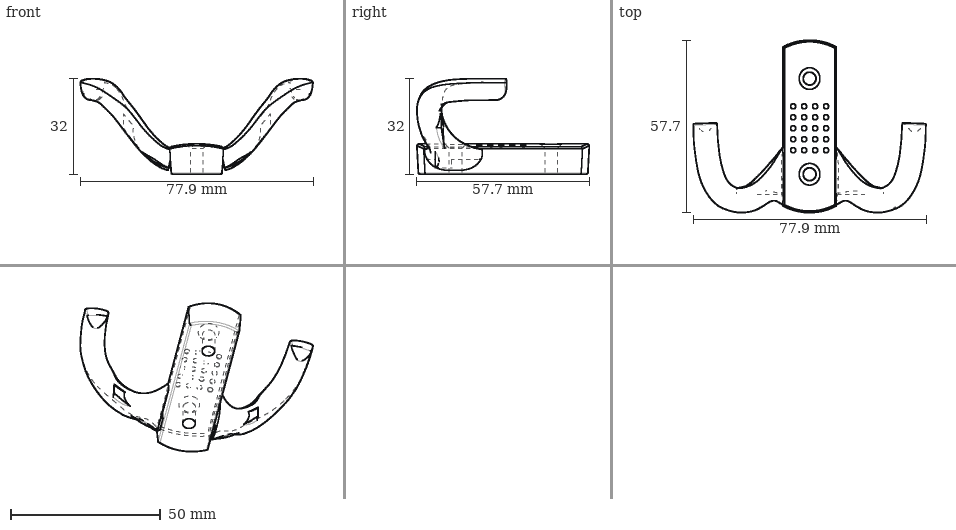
import cadquery as cq
import math

PLATE_LENGTH = 57.8
PLATE_WIDTH = 18.1
PLATE_BOTTOM_WIDTH = 17.0
PLATE_HEIGHT = 10.2
CROWN_RISE = 1.1
END_BULGE = 2.3
TOP_BEVEL = 0.6
BOTTOM_ROUND = 0.6
ARCH_OVERHANG = 0.8

SCREW_SPACING = 32
SCREW_DIAMETER = 4.2
SINK_DIAMETER = 7.25
SINK_ANGLE = 90

DIMPLE_DIAMETER = 1.7
DIMPLE_PITCH = 3.7
DIMPLE_COLUMNS = 4
DIMPLE_ROWS = 5
DIMPLE_CENTER_Y = -0.6

ARM_STATIONS = [
    (8.1, -16.4, 8.3, 20.3, 0.5, 7.2),
    (10.4, -17.3, 8.7, 16.1, 0.7, 6.55),
    (12.95, -19.2, 10.4, 11.8, 1.0, 6.1),
    (16.0, -21.9, 13.2, 10.1, 1.25, 5.7),
    (19.5, -24.0, 17.3, 8.9, 1.55, 5.5),
    (23.0, -24.7, 21.7, 8.3, 1.8, 5.3),
    (26.5, -24.0, 25.75, 8.2, 1.8, 5.5),
    (29.8, -21.8, 28.7, 8.2, 1.7, 5.6),
    (32.1, -18.1, 29.95, 8.2, 1.55, 5.85),
    (33.55, -13.3, 30.4, 8.2, 1.5, 5.85),
    (34.4, -7.8, 30.7, 8.1, 1.3, 5.9),
    (34.8, -3.1, 30.7, 8.1, 1.3, 5.9),
    (34.95, 1.1, 30.7, 8.1, 1.3, 5.9),
]
ROOT_STATIONS = 5
DRAFT = 0.15
CROWN_POWER = 2
UNDERSIDE_POWER = 2.8
HALF_SECTION_STEPS = 8
TIP_HEEL_RADIUS = 3.75
TIP_ROUND = 0.5
HEEL_MARGIN = 0.8

RIB_OUTER_Y = -22.6
RIB_ROOT_Y = -17.2
RIB_END_Y = -20.7
RIB_START_X = 8.2
RIB_END_X = 24.6
RIB_UNDERSIDE = [(9.75, 2.2), (12.9, 3.4), (18.4, 7.65), (21.2, 10.9), (RIB_END_X, 15.6)]
RIB_TOP = [(RIB_END_X, 20.3), (18.7, 13.3), (RIB_START_X, 6.25)]


def plate_outline(half_width, half_length, z):
    corner_y = half_length - END_BULGE
    return (
        cq.Workplane(origin=(0, 0, z))
        .moveTo(-half_width, -corner_y)
        .threePointArc((0, -half_length), (half_width, -corner_y))
        .lineTo(half_width, corner_y)
        .threePointArc((0, half_length), (-half_width, corner_y))
        .close()
        .val()
    )


def make_plate():
    inset = (PLATE_WIDTH - PLATE_BOTTOM_WIDTH) / 2
    half_length = PLATE_LENGTH / 2
    half_width = PLATE_WIDTH / 2
    foot = plate_outline(half_width - inset, half_length - inset, 0)
    rim = plate_outline(half_width, half_length, PLATE_HEIGHT)
    blank = cq.Workplane(cq.Solid.makeLoft([foot, rim], True))
    shoulder = PLATE_HEIGHT - CROWN_RISE
    arch = (
        cq.Workplane("XZ", origin=(0, half_length + ARCH_OVERHANG, 0))
        .moveTo(-half_width, 0)
        .lineTo(-half_width, shoulder)
        .threePointArc((0, PLATE_HEIGHT), (half_width, shoulder))
        .lineTo(half_width, 0)
        .close()
        .extrude(PLATE_LENGTH + 2 * ARCH_OVERHANG)
    )
    plate = blank.faces("<Z").edges().fillet(BOTTOM_ROUND).intersect(arch)
    crown = cq.selectors.NearestToPointSelector((0, 0, PLATE_HEIGHT))
    return plate.faces(crown).edges().chamfer(TOP_BEVEL)


def make_screw_holes():
    hole = cq.Workplane().circle(SCREW_DIAMETER / 2).extrude(PLATE_HEIGHT)
    sink_depth = (SINK_DIAMETER - SCREW_DIAMETER) / 2 / math.tan(math.radians(SINK_ANGLE / 2))
    sink = cq.Solid.makeCone(
        SCREW_DIAMETER / 2, SINK_DIAMETER / 2, sink_depth, pnt=(0, 0, PLATE_HEIGHT - sink_depth)
    )
    cutter = hole.union(cq.Workplane(sink))
    return [cutter.translate((0, side * SCREW_SPACING / 2, 0)) for side in (-1, 1)]


def make_dimples():
    half_width = PLATE_WIDTH / 2
    crown_radius = (half_width ** 2 + CROWN_RISE ** 2) / (2 * CROWN_RISE)
    dimples = []
    for column in range(DIMPLE_COLUMNS):
        x = (column - (DIMPLE_COLUMNS - 1) / 2) * DIMPLE_PITCH
        drop = crown_radius - math.sqrt(crown_radius ** 2 - x ** 2)
        for row in range(DIMPLE_ROWS):
            y = DIMPLE_CENTER_Y + (row - (DIMPLE_ROWS - 1) / 2) * DIMPLE_PITCH
            center = (x, y, PLATE_HEIGHT - drop)
            dimples.append(cq.Workplane().sphere(DIMPLE_DIAMETER / 2).translate(center))
    return dimples


def half_section(plane, width, height, power, draft):
    """Half of an oval; a power above 2 squares it off and the draft narrows its far side."""
    points = [(width / 2, 0)]
    for i in range(1, HALF_SECTION_STEPS):
        angle = math.pi * i / HALF_SECTION_STEPS
        across = math.copysign(abs(math.cos(angle)) ** (2 / power), math.cos(angle))
        along = math.sin(angle) ** (2 / power)
        points.append((width / 2 * across * (1 - draft * along), height * along))
    points.append((-width / 2, 0))
    return cq.Edge.makeSpline([plane.toWorldCoords(point) for point in points])


def arm_section(station, direction):
    x, y, z, width, rise, depth = station
    side = direction.cross(cq.Vector(0, 0, 1))
    plane = cq.Plane(origin=(x, y, z), xDir=side, normal=-direction)
    top = half_section(plane, width, rise, CROWN_POWER, 0)
    bottom = half_section(plane, width, -depth, UNDERSIDE_POWER, DRAFT)
    return cq.Wire.assembleEdges([top, bottom])


def make_arm():
    centers = [cq.Vector(*station[:3]) for station in ARM_STATIONS]
    before = [centers[0]] + centers[:-1]
    after = centers[1:] + [centers[-1]]
    sections = []
    for i, station in enumerate(ARM_STATIONS):
        direction = after[i] - before[i]
        if i < ROOT_STATIONS:
            direction = cq.Vector(direction.x, 0, direction.z)
        sections.append(arm_section(station, direction.normalized()))
    return cq.Workplane(cq.Solid.makeLoft(sections))


def round_tip(arm):
    _, tip_y, parting_z, _, _, depth = ARM_STATIONS[-1]
    underside = parting_z - depth
    heel = (
        cq.Workplane("YZ")
        .moveTo(tip_y + HEEL_MARGIN, underside - HEEL_MARGIN)
        .lineTo(tip_y - TIP_HEEL_RADIUS, underside - HEEL_MARGIN)
        .lineTo(tip_y - TIP_HEEL_RADIUS, underside)
        .radiusArc((tip_y, underside + TIP_HEEL_RADIUS), -TIP_HEEL_RADIUS)
        .lineTo(tip_y + HEEL_MARGIN, underside + TIP_HEEL_RADIUS)
        .close()
        .extrude(PLATE_LENGTH)
    )
    return arm.faces(">Y").edges().fillet(TIP_ROUND).cut(heel)


def make_rib():
    plan = (
        cq.Workplane()
        .polyline([
            (RIB_START_X, RIB_OUTER_Y),
            (RIB_END_X, RIB_OUTER_Y),
            (RIB_END_X, RIB_END_Y),
            (RIB_START_X, RIB_ROOT_Y),
        ])
        .close()
        .extrude(ARM_STATIONS[-1][2])
    )
    profile = (
        cq.Workplane("XZ")
        .moveTo(*RIB_UNDERSIDE[0])
        .spline(RIB_UNDERSIDE[1:], includeCurrent=True)
        .polyline(RIB_TOP, includeCurrent=True)
        .lineTo(RIB_START_X, RIB_UNDERSIDE[0][1])
        .close()
        .extrude(PLATE_LENGTH)
    )
    return plan.intersect(profile)


arm = round_tip(make_arm()).union(make_rib())
result = make_plate().union(arm).union(arm.mirror("YZ"))
for cutter in make_screw_holes() + make_dimples():
    result = result.cut(cutter)